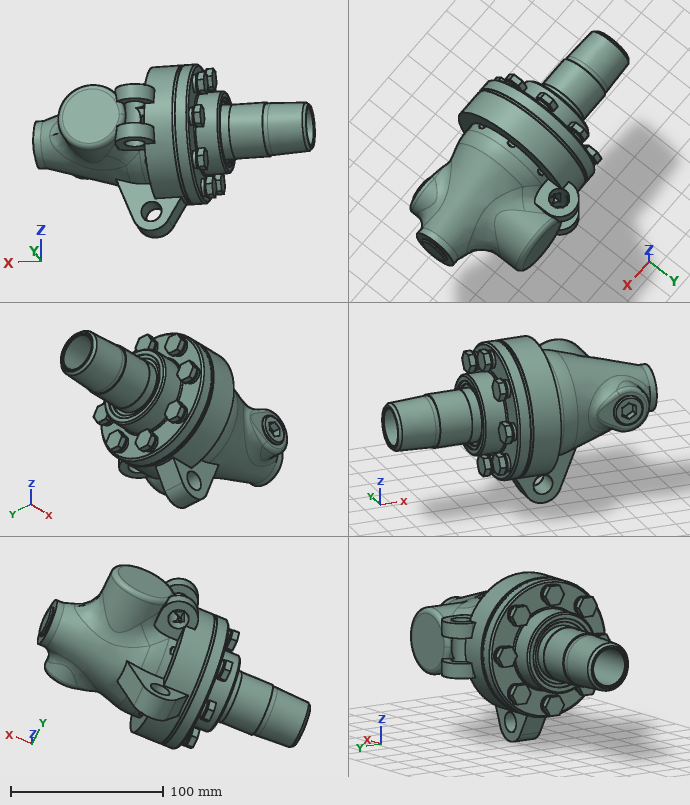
import cadquery as cq
import math


bore_diameter = 25.0
bore_depth = 101.5
bore_chamfer = 0.7
shaft_tip_radius = 14.4
tip_chamfer_end = 2.0
taper_start_radius = 16.0
relief_radius = 17.2
relief_start = 25.3
shaft_start = 28.5
shaft_radius = 17.9
shoulder_start = 51.0
shoulder_radius = 18.18

collar_start = 55.7
collar_radius = 27.1
collar_chamfer = 1.1
collar_foot = 1.0
outer_recess_radius = 22.97
outer_recess_depth = 1.0
inner_recess_radius = 20.7
inner_recess_depth = 2.0

flange_start = 72.3
flange_end = 102.6
flange_radius = 46.0
flange_chamfer = 1.3
groove_start = 81.2
groove_width = 1.8
groove_depth = 0.7

bolt_count = 8
bolt_circle_radius = 37.18
bolt_head_start = 64.5
bolt_head_length = 4.5
bolt_head_flats = 12.7
washer_face_length = 1.1
bolt_collar_diameter = 11.8
tapped_hole_radius = 3.23
tapped_hole_length = 2.0
drill_tip_radius = 1.5
drill_tip_length = 1.1

body_radius = 35.5
body_round_start = 108.7
cone_start = 119.2
cone_start_radius = 34.0
cone_end = 178.0
body_end_radius = 15.7
plug_radius = 10.3
plug_height = 1.7
plug_chamfer = 1.1
body_end = 184.5 - plug_height

port_x = 136.5
port_radius = 22.3
port_face_y = 52.4
port_uncut_height = 64.5
port_edge_round = 3.5
port_blend = 18.0

boss_x = 156.0
boss_radius = 15.9
boss_face_y = -31.5
boss_uncut_height = 46.1
boss_edge_round = 3.0
boss_blend = 9.6
boss_cut_start = 127.9
socket_flats = 9.8
socket_depth = 5.5

lug_hole_radius = 6.73
lower_lug_x = 105.2
lower_lug_z = -53.9
lower_lug_radius = 13.1
lower_lug_width = 15.9
lower_lug_left_slope = 59.5
lower_lug_right_slope = 67.8
lower_lug_top_z = -22.1

side_lug_x = 108.4
side_lug_y = 44.5
side_lug_radius = 13.0
side_lug_inner_z = 8.5
side_lug_thickness = 10.0
side_lug_root_y = 22.1


def disc(radius, start, length):
    """Solid cylinder on the main axis."""
    return cq.Workplane("YZ", origin=(start, 0, 0)).circle(radius).extrude(length)


def make_shaft_and_flange():
    """Turned shaft, collar and flange with the groove in the rim."""
    collar_floor = collar_start + outer_recess_depth
    recess_floor = collar_start + inner_recess_depth
    groove_end = groove_start + groove_width
    profile = (
        cq.Workplane("XY")
        .moveTo(0, 0)
        .lineTo(0, shaft_tip_radius)
        .lineTo(tip_chamfer_end, taper_start_radius)
        .lineTo(relief_start, relief_radius)
        .lineTo(shaft_start, relief_radius)
        .lineTo(shaft_start, shaft_radius)
        .lineTo(shoulder_start, shaft_radius)
        .lineTo(shoulder_start, shoulder_radius)
        .lineTo(recess_floor, shoulder_radius)
        .lineTo(recess_floor, inner_recess_radius)
        .lineTo(collar_floor, inner_recess_radius)
        .lineTo(collar_floor, outer_recess_radius)
        .lineTo(collar_start, outer_recess_radius)
        .lineTo(collar_start, collar_radius - collar_chamfer)
        .lineTo(collar_start + collar_chamfer, collar_radius)
        .lineTo(flange_start - collar_foot, collar_radius)
        .lineTo(flange_start, collar_radius + collar_foot)
        .lineTo(flange_start, flange_radius - flange_chamfer)
        .lineTo(flange_start + flange_chamfer, flange_radius)
        .lineTo(groove_start, flange_radius)
        .lineTo(groove_start, flange_radius - groove_depth)
        .lineTo(groove_end, flange_radius - groove_depth)
        .lineTo(groove_end, flange_radius)
        .lineTo(flange_end, flange_radius)
        .lineTo(flange_end, 0)
        .close()
    )
    return profile.revolve(360, (0, 0, 0), (1, 0, 0))


def make_cone():
    """Turned body: a cylinder rounded smoothly into a cone with a short cylindrical end."""
    profile = (
        cq.Workplane("XY")
        .moveTo(groove_start, 0)
        .lineTo(groove_start, body_radius)
        .lineTo(body_round_start, body_radius)
        .tangentArcPoint((cone_start, cone_start_radius), relative=False)
        .lineTo(cone_end, body_end_radius)
        .lineTo(body_end, body_end_radius)
        .lineTo(body_end, 0)
        .close()
    )
    return profile.revolve(360, (0, 0, 0), (1, 0, 0))


def blend_foot(body, x, radius, y_near, y_far, blend):
    """Fillet the curved edge where a side branch of the given radius meets the body."""
    reach = radius + 1.8
    box = cq.selectors.BoxSelector((x - reach, y_near, -reach), (x + reach, y_far, reach))
    return body.edges(box).edges("not(%LINE or %CIRCLE)").fillet(blend)


def add_port(body):
    """Round port branch with a large blend into the body, faced flat and rounded at the rim."""
    branch = cq.Workplane("XZ", origin=(port_x, 0, 0)).circle(port_radius).extrude(-port_uncut_height)
    body = blend_foot(body.union(branch), port_x, port_radius, 0, port_uncut_height - 1.8, port_blend)
    facing_cut = cq.Workplane("XZ", origin=(port_x, port_face_y, 0)).rect(4 * port_radius, 4 * port_radius)
    body = body.cut(facing_cut.extrude(port_face_y - port_uncut_height))
    return body.faces(">Y").edges().fillet(port_edge_round)


def add_boss(body):
    """Round boss blended into the cone, then faced flat.

    The flat also cuts through the blend, which draws its outline out to a teardrop.
    """
    branch = cq.Workplane("XZ", origin=(boss_x, 0, 0)).circle(boss_radius).extrude(boss_uncut_height)
    body = blend_foot(body.union(branch), boss_x, boss_radius, 1.8 - boss_uncut_height, 0, boss_blend)
    facing_cut = cq.Workplane("XY").box(
        body_end - boss_cut_start, boss_uncut_height, 2 * body_radius, centered=(False, False, True)
    )
    body = body.cut(facing_cut.translate((boss_cut_start, boss_face_y - boss_uncut_height, 0)))
    flat = cq.selectors.NearestToPointSelector((boss_x, boss_face_y, 0))
    return body.faces(flat).edges().fillet(boss_edge_round)


def make_plug(plane, origin):
    """Low closing plug with a chamfered rim."""
    base_height = plug_height - plug_chamfer
    plug = cq.Workplane(plane, origin=origin).circle(plug_radius).extrude(base_height)
    rim = cq.Workplane(plane, origin=origin).workplane(offset=base_height).circle(plug_radius)
    return plug.union(rim.extrude(plug_chamfer, taper=45))


def make_socket():
    """Hexagon socket sunk into the boss plug, corners towards +Z and -Z."""
    hexagon_diameter = socket_flats / math.cos(math.pi / 6)
    mouth = cq.Workplane("XZ", origin=(boss_x, boss_face_y - plug_height, 0))
    return mouth.transformed(rotate=(0, 0, 90)).polygon(6, hexagon_diameter).extrude(-socket_depth)


def make_lower_lug():
    """Plate below the flange with two straight flanks running tangent to its round end."""
    def flank(direction, slope):
        angle = math.radians(slope)
        tangent_x = lower_lug_x + direction * lower_lug_radius * math.sin(angle)
        tangent_z = lower_lug_z - lower_lug_radius * math.cos(angle)
        top_x = tangent_x + direction * (lower_lug_top_z - tangent_z) / math.tan(angle)
        return (tangent_x, tangent_z), (top_x, lower_lug_top_z)

    left_tangent, left_top = flank(-1, lower_lug_left_slope)
    right_tangent, right_top = flank(1, lower_lug_right_slope)
    plate = (
        cq.Workplane("XZ", origin=(0, lower_lug_width / 2, 0))
        .moveTo(*left_top)
        .lineTo(*left_tangent)
        .threePointArc((lower_lug_x, lower_lug_z - lower_lug_radius), right_tangent)
        .lineTo(*right_top)
        .close()
        .extrude(lower_lug_width)
    )
    clearance = disc(flange_radius, 0, groove_start + groove_width)
    hole = (
        cq.Workplane("XZ", origin=(lower_lug_x, lower_lug_width / 2, lower_lug_z))
        .circle(lug_hole_radius)
        .extrude(lower_lug_width)
    )
    return plate.cut(clearance).cut(hole)


def make_side_lug(bottom_z):
    """Flat round-ended plate, standing parallel to the XY plane."""
    return (
        cq.Workplane("XY", origin=(0, 0, bottom_z))
        .moveTo(side_lug_x - side_lug_radius, side_lug_root_y)
        .lineTo(side_lug_x - side_lug_radius, side_lug_y)
        .threePointArc((side_lug_x, side_lug_y + side_lug_radius), (side_lug_x + side_lug_radius, side_lug_y))
        .lineTo(side_lug_x + side_lug_radius, side_lug_root_y)
        .close()
        .extrude(side_lug_thickness)
    )


def make_bolt():
    """Hexagon bolt head with its round washer face and collar, on the main axis."""
    corner_diameter = bolt_head_flats / math.cos(math.pi / 6)
    head = cq.Workplane("YZ", origin=(bolt_head_start, 0, 0)).polygon(6, corner_diameter)
    washer_start = bolt_head_start + bolt_head_length
    collar_bottom = washer_start + washer_face_length
    bolt = head.extrude(bolt_head_length)
    bolt = bolt.union(disc(bolt_head_flats / 2, washer_start, washer_face_length))
    return bolt.union(disc(bolt_collar_diameter / 2, collar_bottom, flange_start - collar_bottom))


def make_drill_tip():
    """End of a tapped hole that runs past the flange and nicks the body, on the main axis."""
    hole_bottom = flange_end + tapped_hole_length
    profile = (
        cq.Workplane("XY")
        .moveTo(flange_end, 0)
        .lineTo(flange_end, tapped_hole_radius)
        .lineTo(hole_bottom, tapped_hole_radius)
        .lineTo(hole_bottom + drill_tip_length, drill_tip_radius)
        .lineTo(hole_bottom + drill_tip_length, 0)
        .close()
    )
    return profile.revolve(360, (0, 0, 0), (1, 0, 0))


result = add_boss(add_port(make_cone())).union(make_shaft_and_flange())

result = result.union(make_lower_lug())
for lug_bottom in (side_lug_inner_z, -side_lug_inner_z - side_lug_thickness):
    result = result.union(make_side_lug(lug_bottom))
side_lug_hole = (
    cq.Workplane("XY", origin=(side_lug_x, side_lug_y, -port_radius))
    .circle(lug_hole_radius)
    .extrude(2 * port_radius)
)
result = result.cut(side_lug_hole)

result = result.union(make_plug("YZ", (body_end, 0, 0)))
result = result.union(make_plug("XZ", (boss_x, boss_face_y, 0))).cut(make_socket())

for index in range(bolt_count):
    angle = 2 * math.pi * index / bolt_count
    place = (0, bolt_circle_radius * math.cos(angle), bolt_circle_radius * math.sin(angle))
    result = result.union(make_bolt().translate(place)).cut(make_drill_tip().translate(place))

result = result.cut(disc(bore_diameter / 2, 0, bore_depth))
result = result.faces("<X").edges("%CIRCLE").edges(cq.selectors.RadiusNthSelector(0)).chamfer(bore_chamfer)